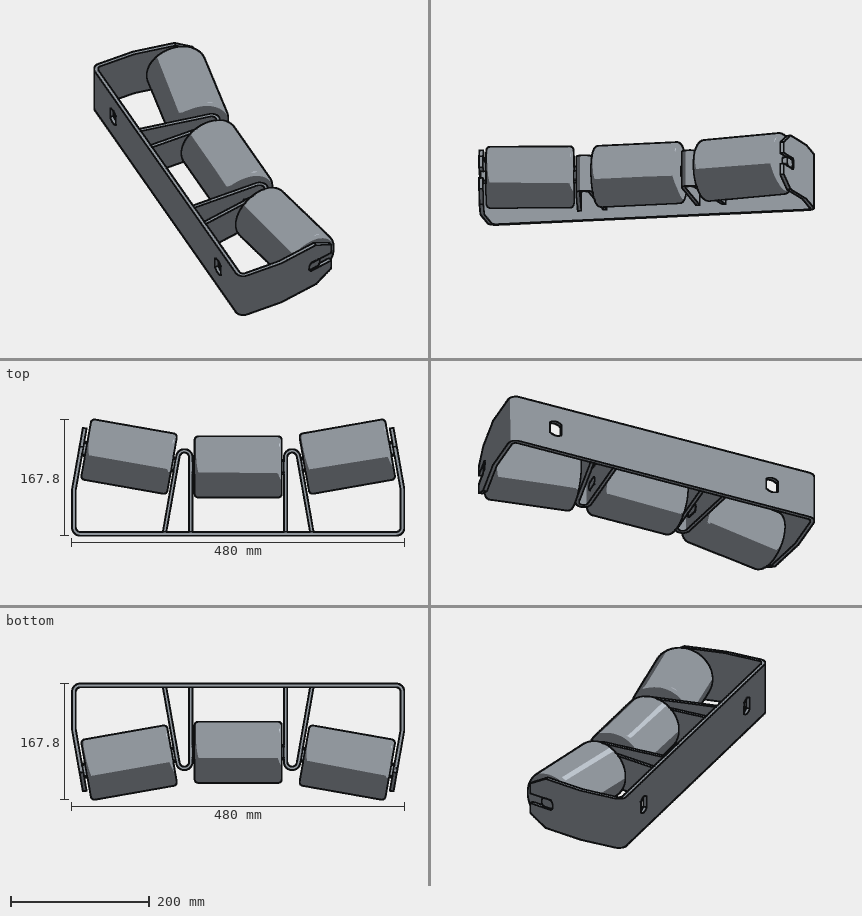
import cadquery as cq
import math


frame_length = 480.0
strip_height = 80.0
strip_thickness = 6.0
corner_radius = 12.0
arm_bend_y = 67.0
arm_tip_y = 156.0
arm_tip_height = 48.0
arm_taper_length = 27.5
arm_slot_width = 16.0
tilt = 10.0

mount_hole_x = 170.0
mount_hole_diameter = 25.5
mount_hole_width = 18.0

bracket_height = 53.0
bracket_thickness = 5.5
bracket_face_x = 66.0
bracket_top_y = 125.5
bracket_bend_radius = 12.0

roller_diameter = 89.0
roller_length = 126.0
roller_edge_radius = 6.0
middle_roller_y = 99.5
outer_roller_x = 157.5
outer_roller_y = 114.0
shaft_diameter = 21.0
shaft_thickness = 14.0

half_frame = frame_length / 2
shaft_length = 2 * (bracket_face_x + bracket_thickness)
tilt_angle = math.radians(tilt)
tilt_sin = math.sin(tilt_angle)
tilt_cos = math.cos(tilt_angle)
arm_length = (arm_tip_y - arm_bend_y) / tilt_cos


def offset(point, inward, outward):
    """Move a point inward along the left roller's axis and outward along the left arm."""
    return (
        point[0] + inward * tilt_cos + outward * tilt_sin,
        point[1] - inward * tilt_sin + outward * tilt_cos,
    )


def flatted_round(workplane, diameter, width):
    """Circle outline with two flats parallel to the local x direction of the workplane."""
    flat_end = math.sqrt(diameter**2 - width**2) / 2
    return (
        workplane
        .moveTo(-flat_end, width / 2)
        .lineTo(flat_end, width / 2)
        .threePointArc((diameter / 2, 0), (flat_end, -width / 2))
        .lineTo(-flat_end, -width / 2)
        .threePointArc((-diameter / 2, 0), (-flat_end, width / 2))
        .close()
    )


def tilted_plane(point):
    """Plane square to the left roller's axis: local x runs out along the arm, local y is Z."""
    return cq.Plane(
        origin=(point[0], point[1], 0),
        xDir=(tilt_sin, tilt_cos, 0),
        normal=(tilt_cos, -tilt_sin, 0),
    )


def make_shaft(plane, length):
    shaft_end = cq.Workplane(plane).workplane(offset=-length / 2)
    return flatted_round(shaft_end, shaft_diameter, shaft_thickness).extrude(length)


def make_roller(plane):
    barrel_end = cq.Workplane(plane).workplane(offset=-roller_length / 2)
    barrel = barrel_end.circle(roller_diameter / 2).extrude(roller_length)
    barrel = barrel.edges("%CIRCLE").fillet(roller_edge_radius)
    return barrel.union(make_shaft(plane, shaft_length))


outer_center = (-outer_roller_x, outer_roller_y)
outer_plane = tilted_plane(outer_center)
middle_plane = cq.Plane(origin=(0, middle_roller_y, 0), xDir=(0, 1, 0), normal=(1, 0, 0))


def make_half_frame_strip():
    bend = (-half_frame, arm_bend_y)
    bend_inside = (-half_frame + strip_thickness, arm_bend_y - strip_thickness * math.tan(tilt_angle / 2))
    strip = (
        cq.Workplane("XY", origin=(0, 0, -strip_height / 2))
        .polyline(
            [
                (0, 0),
                (-half_frame, 0),
                bend,
                offset(bend, 0, arm_length),
                offset(bend, strip_thickness, arm_length),
                bend_inside,
                (-half_frame + strip_thickness, strip_thickness),
                (0, strip_thickness),
            ]
        )
        .close()
        .extrude(strip_height)
    )
    outside_corner = cq.selectors.NearestToPointSelector((-half_frame, 0, 0))
    inside_corner = cq.selectors.NearestToPointSelector((-half_frame + strip_thickness, strip_thickness, 0))
    strip = strip.edges(outside_corner).fillet(corner_radius)
    return strip.edges(inside_corner).fillet(corner_radius - strip_thickness)


def cut_arm_tip(strip):
    """Taper the arm's tip and open a slot from it down to the roller shaft."""
    tip_plane = tilted_plane(offset((-half_frame, arm_bend_y), 0, arm_length))
    for side in (-1, 1):
        taper = (
            cq.Workplane(tip_plane)
            .polyline(
                [
                    (0, side * arm_tip_height / 2),
                    (-arm_taper_length, side * strip_height / 2),
                    (0, side * strip_height / 2),
                ]
            )
            .close()
            .extrude(strip_thickness)
        )
        strip = strip.cut(taper)
    slot_end = flatted_round(cq.Workplane(outer_plane), shaft_diameter, arm_slot_width).extrude(-half_frame)
    slot = (
        cq.Workplane(outer_plane)
        .center(arm_length / 2, 0)
        .rect(arm_length, arm_slot_width)
        .extrude(-half_frame)
    )
    return strip.cut(slot_end).cut(slot)


def cut_mount_hole(strip):
    hole_plane = cq.Plane(origin=(-mount_hole_x, 0, 0), xDir=(0, 0, 1), normal=(0, 1, 0))
    outline = flatted_round(cq.Workplane(hole_plane), mount_hole_diameter, mount_hole_width)
    return strip.cut(outline.extrude(strip_thickness))


def make_frame():
    left_half = cut_mount_hole(cut_arm_tip(make_half_frame_strip()))
    return left_half.union(left_half.mirror("YZ"))


def make_bracket():
    """Left bracket: an upright leg, a round bend and a leg that leans with the outer roller."""
    inside_radius = bracket_bend_radius - bracket_thickness
    bend_center = (-bracket_face_x - bracket_bend_radius, bracket_top_y - bracket_bend_radius)

    def leaning_foot(radius):
        """Point on the base plate below the leaning leg's face at this bend radius."""
        start = offset(bend_center, -radius, 0)
        return (start[0] - (start[1] - strip_thickness) * math.tan(tilt_angle), strip_thickness)

    bend_top = (bend_center[0], bend_center[1] + bracket_bend_radius)
    bend_underside = (bend_center[0], bend_center[1] + inside_radius)
    bracket = (
        cq.Workplane("XY", origin=(0, 0, -bracket_height / 2))
        .moveTo(-bracket_face_x, strip_thickness)
        .lineTo(-bracket_face_x, bend_center[1])
        .threePointArc(bend_top, offset(bend_center, -bracket_bend_radius, 0))
        .lineTo(*leaning_foot(bracket_bend_radius))
        .lineTo(*leaning_foot(inside_radius))
        .lineTo(*offset(bend_center, -inside_radius, 0))
        .threePointArc(bend_underside, (-bracket_face_x - bracket_thickness, bend_center[1]))
        .lineTo(-bracket_face_x - bracket_thickness, strip_thickness)
        .close()
        .extrude(bracket_height)
    )
    hole_length = shaft_length + 2 * bracket_thickness
    for plane in (middle_plane, outer_plane):
        bracket = bracket.cut(make_shaft(plane, hole_length))
    return bracket


frame = make_frame()
left_bracket = make_bracket()
brackets = [left_bracket, left_bracket.mirror("YZ")]
left_roller = make_roller(outer_plane)
rollers = [left_roller, make_roller(middle_plane), left_roller.mirror("YZ")]

result = cq.Compound.makeCompound([frame.val()] + [body.val() for body in brackets + rollers])